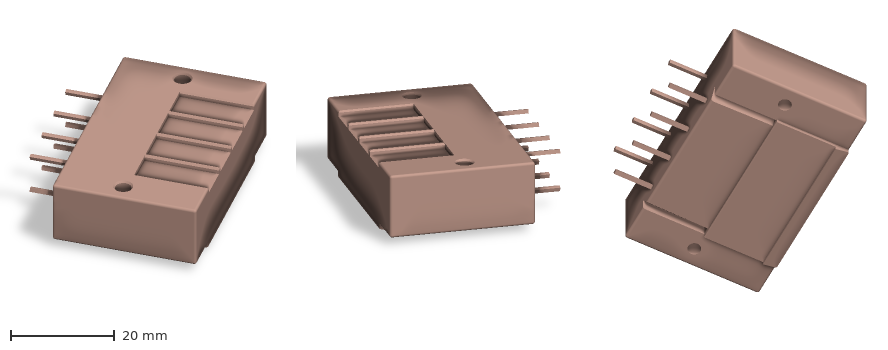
import cadquery as cq
body_length = 29.0
body_width = 45.7
body_height = 12.7
edge_radius = 0.5

pin_pitch = body_width / 6
pins_per_row = 4
pin_length = 8.0
pin_side = 0.82
pin_twist = 16.0

hole_spacing = 5 * pin_pitch
hole_edge_distance = 13.1
bore_diameter = 3.2
neck_diameter = 2.65
neck_height = 0.27
sink_diameter = 3.85
sink_depth = 0.35

pocket_length = 15.0
pocket_depth = 1.15
pocket_row_width = 29.0
rim_chamfer = 0.3
rib_top_width = 0.27

plate_length = 15.7
plate_width = 30.55
plate_thickness = 0.82
plate_bevel = 0.2
plate_corner_radius = 0.3
hook_length = 2.95
hook_drop = 1.6

groove_outer_y = 15.1
groove_height = 2.55
groove_width = 1.65
groove_taper = 0.2

x_left = -body_length / 2
x_right = body_length / 2
z_top = body_height / 2
z_bottom = -body_height / 2


def make_body():
    return cq.Workplane("XY").box(body_length, body_width, body_height).edges().fillet(edge_radius)


def make_pin(y, z, twist):
    embed = edge_radius
    pin = cq.Workplane("YZ").rect(pin_side, pin_side).extrude(pin_length + embed)
    pin = pin.rotate((0, 0, 0), (1, 0, 0), twist)
    return pin.translate((x_left - pin_length, y, z))


def make_pocket(y_low_wall, y_high_wall):
    profile = [
        (y_low_wall, z_top - pocket_depth),
        (y_high_wall, z_top - pocket_depth),
        (y_high_wall, z_top - rim_chamfer),
        (y_high_wall + rim_chamfer, z_top),
        (y_low_wall - rim_chamfer, z_top),
        (y_low_wall, z_top - rim_chamfer),
    ]
    start = cq.Workplane("YZ", origin=(x_right - pocket_length, 0, 0))
    return start.polyline(profile).close().extrude(pocket_length)


def cut_pockets(part):
    half_rib_base = rib_top_width / 2 + rim_chamfer
    rib_centres = [-pin_pitch, 0, pin_pitch]
    low_edges = [-pocket_row_width / 2] + [y + half_rib_base for y in rib_centres]
    high_edges = [y - half_rib_base for y in rib_centres] + [pocket_row_width / 2]
    for low, high in zip(low_edges, high_edges):
        part = part.cut(make_pocket(low, high))
    return part


def make_cone(x, y, z_low, low_diameter, z_high, high_diameter):
    base = cq.Workplane("XY", origin=(x, y, z_low)).circle(low_diameter / 2)
    return base.workplane(offset=z_high - z_low).circle(high_diameter / 2).loft()


def cut_mounting_holes(part):
    hole_x = x_left + hole_edge_distance
    neck_top = z_bottom + neck_height
    sink_floor = z_top - sink_depth
    for y in (-hole_spacing / 2, hole_spacing / 2):
        neck = make_cone(hole_x, y, z_bottom, neck_diameter, neck_top, bore_diameter)
        bore = cq.Workplane("XY", origin=(hole_x, y, neck_top)).circle(bore_diameter / 2)
        sink = make_cone(hole_x, y, sink_floor, bore_diameter, z_top, sink_diameter)
        part = part.cut(neck).cut(bore.extrude(sink_floor - neck_top)).cut(sink)
    return part


def make_snap_plate():
    plate_start = x_right - plate_length
    hook_start = x_right - hook_length
    plate_overlap = edge_radius
    profile = [
        (plate_start, z_bottom + plate_overlap),
        (plate_start, z_bottom - plate_thickness + plate_bevel),
        (plate_start + plate_bevel, z_bottom - plate_thickness),
        (hook_start, z_bottom - plate_thickness),
        (hook_start, z_bottom - hook_drop),
        (x_right, z_bottom - plate_thickness),
        (x_right, z_bottom + plate_overlap),
    ]
    plate = cq.Workplane("XZ").polyline(profile).close().extrude(plate_width / 2, both=True)
    return plate.edges("|Z and >X").fillet(plate_corner_radius)


def groove_section(side, shrink):
    return [
        (side * groove_outer_y, z_bottom),
        (side * groove_outer_y, z_bottom + groove_height - shrink),
        (side * (groove_outer_y - groove_width + shrink), z_bottom),
    ]


def make_groove(side):
    return (
        cq.Workplane("YZ", origin=(x_left, 0, 0))
        .polyline(groove_section(side, 0))
        .close()
        .workplane(offset=body_length - plate_length)
        .polyline(groove_section(side, groove_taper))
        .close()
        .loft(ruled=True)
    )


result = cut_mounting_holes(cut_pockets(make_body()))

for side in (-1, 1):
    result = result.cut(make_groove(side))

result = result.union(make_snap_plate())

for i in range(pins_per_row):
    pin_y = (i - (pins_per_row - 1) / 2) * pin_pitch
    for row in (-1, 1):
        result = result.union(make_pin(pin_y, row * pin_pitch / 2, row * pin_twist))